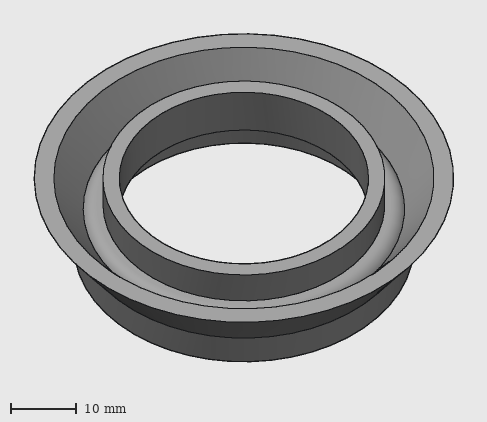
import cadquery as cq
import math

rim_radius = 32.0
height = 14.0
wall = 2.5

base_radius = 26.0
base_height = 5.0
recess_radius = 22.495
recess_depth = 6.1

rim_inner_radius = 29.0
groove_radius = 24.5

bore_radius = 19.0
collar_radius = bore_radius + wall

web_top = recess_depth + wall


def web_arc_point(angle):
    """Point on the rounded web; angle is measured from vertical."""
    return (
        recess_radius + wall * math.sin(angle),
        recess_depth + wall * math.cos(angle),
    )


groove_angle = math.asin((groove_radius - recess_radius) / wall)

section = (
    cq.Workplane("XZ")
    .moveTo(recess_radius, 0)
    .lineTo(base_radius, 0)
    .lineTo(base_radius, base_height)
    .lineTo(rim_radius, height)
    .lineTo(rim_inner_radius, height)
    .lineTo(*web_arc_point(groove_angle))
    .threePointArc(web_arc_point(groove_angle / 2), web_arc_point(0))
    .lineTo(collar_radius, web_top)
    .lineTo(collar_radius, height)
    .lineTo(bore_radius, height)
    .lineTo(bore_radius, recess_depth)
    .lineTo(recess_radius, recess_depth)
    .close()
)

result = section.revolve(360, (0, 0, 0), (0, 1, 0))